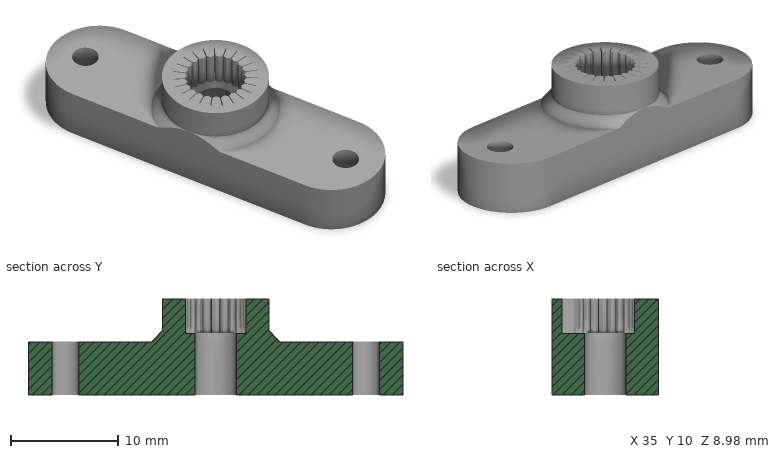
import cadquery as cq

arm_length = 35.0
arm_width = 10.0
arm_height = 5.0
end_hole_spacing = 28.0
end_hole_diameter = 2.5

hub_radius = arm_width / 2
foot_height = 1.0
collar_height = 2.98
foot_radius = 6.0
hub_top = arm_height + foot_height + collar_height

screw_hole_diameter = 3.8
socket_depth = 3.22
spline_count = 23
tooth_tip_radius = 2.7
groove_root_radius = 2.9
groove_mouth_width = 0.7

slit_width = 0.1
slit_end_radius = 4.0


def make_arm():
    return cq.Workplane("XY").slot2D(arm_length, arm_width).extrude(arm_height)


def make_hub():
    """Collar and conical foot, with the foot trimmed flush to the arm sides."""
    hub = (
        cq.Workplane("XZ")
        .moveTo(0, 0)
        .lineTo(foot_radius, 0)
        .lineTo(foot_radius, arm_height)
        .lineTo(hub_radius, arm_height + foot_height)
        .lineTo(hub_radius, hub_top)
        .lineTo(0, hub_top)
        .close()
        .revolve(360, (0, 0, 0), (0, 1, 0))
    )
    side_limits = cq.Workplane("XY").box(arm_length, arm_width, hub_top, centered=(True, True, False))
    return hub.intersect(side_limits)


def make_groove():
    """One tapered spline groove along +Y, continued by its relief slit."""
    half_mouth = groove_mouth_width / 2
    half_slit = slit_width / 2
    outline = [
        (0, 0),
        (half_mouth, tooth_tip_radius),
        (half_slit, groove_root_radius),
        (half_slit, slit_end_radius),
        (-half_slit, slit_end_radius),
        (-half_slit, groove_root_radius),
        (-half_mouth, tooth_tip_radius),
    ]
    return cq.Workplane("XY").polyline(outline).close().extrude(socket_depth)


def make_socket():
    """Splined cavity, with one groove pointing along +Y."""
    socket = cq.Workplane("XY").circle(tooth_tip_radius).extrude(socket_depth)
    groove = make_groove()
    for index in range(spline_count):
        angle = index * 360 / spline_count
        socket = socket.union(groove.rotate((0, 0, 0), (0, 0, 1), angle))
    return socket.translate((0, 0, hub_top - socket_depth))


end_holes = (
    cq.Workplane("XY")
    .pushPoints([(-end_hole_spacing / 2, 0), (end_hole_spacing / 2, 0)])
    .circle(end_hole_diameter / 2)
    .extrude(arm_height)
)
screw_hole = cq.Workplane("XY").circle(screw_hole_diameter / 2).extrude(hub_top)

result = make_arm().union(make_hub()).cut(end_holes).cut(screw_hole).cut(make_socket())